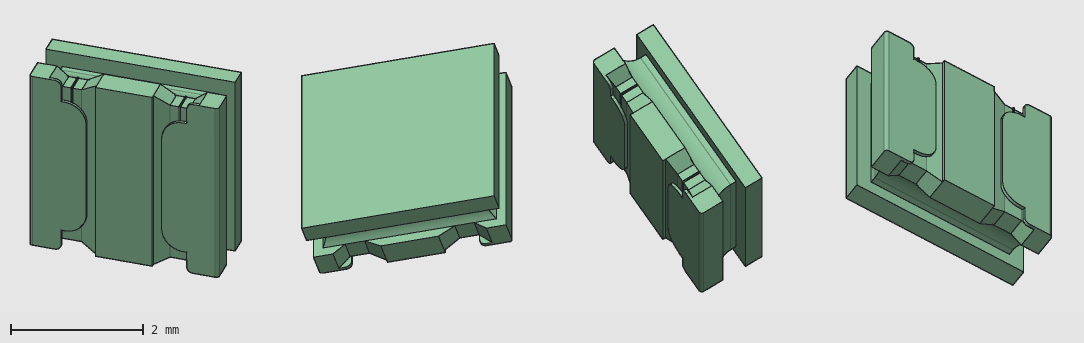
import cadquery as cq
import math

side = 3.0
depth = 1.1
half = side / 2

rear_flange = 0.3
front_flange = 0.4
neck_inset = 0.258
neck_straight = 0.1
cove_rise = 0.108

rib_half_width = 0.45
channel_inner = 0.702
channel_outer = 1.005
land_inner = 1.195
channel_depth = 0.102
notch_depth = 0.15

pad_thickness = 0.05
pad_inner = 0.6
pad_neck = 0.995
pad_wide_inset = 0.357
pad_lobe_radius = 0.34
pad_corner_radius = 0.1

wire_center = 0.855
wire_width = 0.025
wire_height = 0.015

front = -depth / 2
rear = depth / 2
flange_back = front + front_flange
rear_flange_front = rear - rear_flange
pad_back = front + pad_thickness
channel_floor = front + channel_depth
notch_floor = half - notch_depth
neck_half = half - neck_inset


def block(x_limits, y_limits, z_limits):
    """Axis-aligned box between the given limits."""
    sizes = [b - a for a, b in (x_limits, y_limits, z_limits)]
    corner = (x_limits[0], y_limits[0], z_limits[0])
    return cq.Workplane("XY").box(*sizes, centered=False).translate(corner)


def both_sides(right_side):
    """The +X shape together with its mirror image on the -X side."""
    return right_side.union(right_side.mirror("YZ"))


def coved_bar():
    """Neck silhouette extruded over the full height; each cove leaves the straight neck tangentially."""
    cove_start = rear_flange_front - neck_straight
    cove_run = cove_start - flange_back
    radius = (cove_run**2 + cove_rise**2) / (2 * cove_rise)
    mid_angle = math.asin(cove_run / radius) / 2
    mid_rise = radius * (1 - math.cos(mid_angle))
    mid_y = cove_start - radius * math.sin(mid_angle)
    root_half = neck_half + cove_rise
    return (
        cq.Workplane("XY")
        .moveTo(-neck_half, rear_flange_front)
        .lineTo(neck_half, rear_flange_front)
        .lineTo(neck_half, cove_start)
        .threePointArc((neck_half + mid_rise, mid_y), (root_half, flange_back))
        .lineTo(-root_half, flange_back)
        .threePointArc((-neck_half - mid_rise, mid_y), (-neck_half, cove_start))
        .close()
        .extrude(half, both=True)
    )


def make_neck():
    """Square neck with the cove on all four faces."""
    upright = coved_bar()
    sideways = upright.rotate((0, 0, 0), (0, 1, 0), 90)
    return upright.intersect(sideways)


def front_channel():
    """Full-height sloped-wall channel on the +X side, including the clearance behind the pad."""
    return (
        cq.Workplane("XY")
        .polyline([
            (rib_half_width, front),
            (rib_half_width, pad_back),
            (channel_inner, channel_floor),
            (channel_outer, channel_floor),
            (land_inner, pad_back),
            (land_inner, front),
        ])
        .close()
        .extrude(half, both=True)
    )


def edge_notch():
    """Trapezoidal notch in the top edge of the front flange on the +X side."""
    return (
        cq.Workplane("XZ", origin=(0, flange_back, 0))
        .polyline([
            (rib_half_width, half),
            (channel_inner, notch_floor),
            (channel_outer, notch_floor),
            (land_inner, half),
        ])
        .close()
        .extrude(front_flange)
    )


def terminal_pad():
    """Pad on the +X side: a wide rounded lobe with narrower necks reaching both edges."""
    lobe_half = half - pad_wide_inset
    lobe = (
        block((pad_inner, half), (front, pad_back), (-lobe_half, lobe_half))
        .edges("|Y and <X")
        .fillet(pad_lobe_radius)
    )
    strip = (
        block((pad_neck, half), (front, pad_back), (-half, half))
        .edges("|Y and <X")
        .fillet(pad_corner_radius)
    )
    return lobe.union(strip)


def wire():
    """Strip standing proud of the top notch floor and of the channel floor, ending behind the pad."""
    return block(
        (wire_center - wire_width / 2, wire_center + wire_width / 2),
        (channel_floor - wire_height, flange_back),
        (0, notch_floor + wire_height),
    )


def make_front_flange():
    """Front flange with channels, notches, wires and terminal pads."""
    flange = block((-half, half), (front, flange_back), (-half, half))
    notch = edge_notch()
    flange = flange.cut(both_sides(front_channel()))
    flange = flange.cut(both_sides(notch.union(notch.mirror("XY"))))
    flange = flange.union(both_sides(terminal_pad())).union(both_sides(wire()))
    return flange.faces("<Y").edges("|Z").edges("<X or >X").fillet(pad_thickness)


back_plate = block((-half, half), (rear_flange_front, rear), (-half, half))
result = back_plate.union(make_neck()).union(make_front_flange())